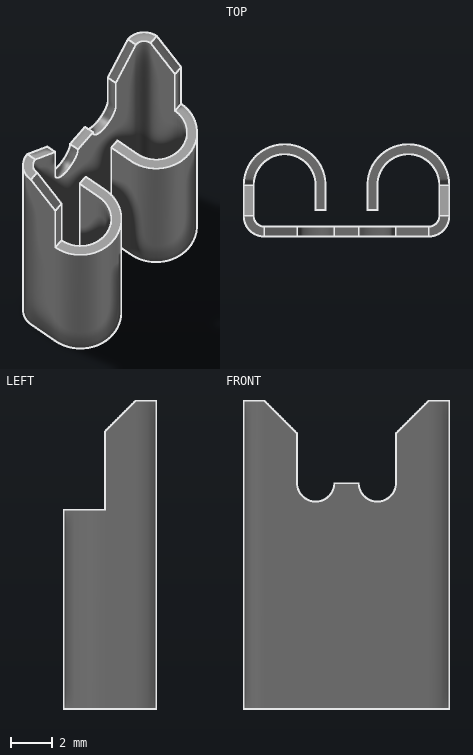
import cadquery as cq

width = 10.0
height = 15.0
thickness = 0.5
fold_radius = 1.0
curl_radius = 2.0
curl_center_y = 2.5
curl_lip_y = 1.29
curl_height = 9.7
side_slope_drop = 1.5

notch_half_width = 2.4
notch_slope_drop = 1.59
tab_drop = 4.0
scallop_radius = 0.9

half_width = width / 2
curl_center_x = half_width - curl_radius
tab_half_width = notch_half_width - 2 * scallop_radius
flat_half_width = half_width - fold_radius
depth = curl_center_y + curl_radius


def make_channel():
    """Back plate and side walls, folded into a U-shaped channel."""
    outer = (
        cq.Workplane("XY")
        .rect(width, 2 * curl_center_y)
        .extrude(height)
        .edges("|Z and <Y")
        .fillet(fold_radius)
    )
    inner = (
        cq.Workplane("XY")
        .rect(width - 2 * thickness, 2 * (curl_center_y - thickness))
        .extrude(height)
        .edges("|Z and <Y")
        .fillet(fold_radius - thickness)
    )
    lower_half = cq.Workplane("XY").box(
        width, curl_center_y, height, centered=(True, False, False)
    ).translate((0, -curl_center_y, 0))
    channel = outer.intersect(lower_half).cut(inner)
    return channel.translate((0, curl_center_y, 0))


def make_curl(side):
    """Half-round rolled edge and straight lip; side is -1 or +1 along X."""
    inner_radius = curl_radius - thickness
    center = side * curl_center_x
    return (
        cq.Workplane("XY")
        .moveTo(center + side * curl_radius, curl_center_y)
        .threePointArc((center, depth), (center - side * curl_radius, curl_center_y))
        .lineTo(center - side * curl_radius, curl_lip_y)
        .lineTo(center - side * inner_radius, curl_lip_y)
        .lineTo(center - side * inner_radius, curl_center_y)
        .threePointArc(
            (center, curl_center_y + inner_radius),
            (center + side * inner_radius, curl_center_y),
        )
        .close()
        .extrude(curl_height)
    )


def make_notch():
    """Flared notch ending in two round scallops with a tab between them."""
    tab_z = height - tab_drop
    shoulder_z = height - notch_slope_drop
    scallop_x = tab_half_width + scallop_radius
    scallop_z = tab_z - scallop_radius
    return (
        cq.Workplane("XZ")
        .moveTo(-flat_half_width, height)
        .lineTo(-notch_half_width, shoulder_z)
        .lineTo(-notch_half_width, tab_z)
        .threePointArc((-scallop_x, scallop_z), (-tab_half_width, tab_z))
        .lineTo(tab_half_width, tab_z)
        .threePointArc((scallop_x, scallop_z), (notch_half_width, tab_z))
        .lineTo(notch_half_width, shoulder_z)
        .lineTo(flat_half_width, height)
        .close()
        .extrude(-fold_radius)
    )


def make_side_slope():
    """Wedge that slopes the top edge of both side walls down to the curls."""
    return (
        cq.Workplane("YZ")
        .moveTo(fold_radius, height)
        .lineTo(curl_center_y, height - side_slope_drop)
        .lineTo(curl_center_y, height)
        .close()
        .extrude(half_width, both=True)
    )


result = make_channel().cut(make_notch()).cut(make_side_slope())
for side in (-1, 1):
    result = result.union(make_curl(side))